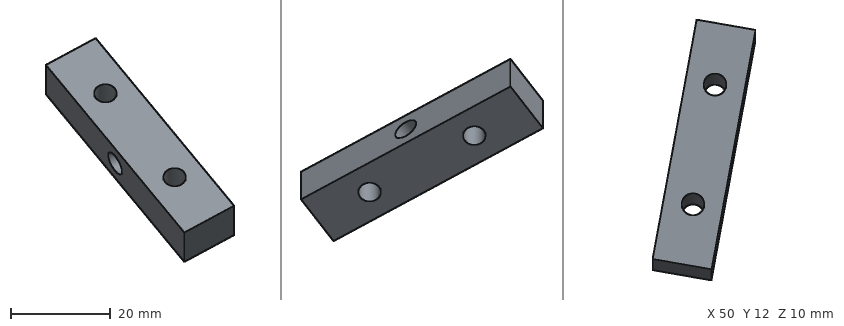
import cadquery as cq

length = 49.95
depth = 12.0
height = 10.0

vertical_hole_diameter = 4.5
vertical_hole_spacing = length / 2
cross_hole_diameter = 5.0


def make_bar():
    """Solid bar centred on the origin."""
    return cq.Workplane("XY").box(length, depth, height)


def drill_vertical_holes(bar):
    """Pair of holes along Z, symmetric about the middle of the bar."""
    half_spacing = vertical_hole_spacing / 2
    return (
        bar.faces(">Z")
        .workplane()
        .pushPoints([(-half_spacing, 0), (half_spacing, 0)])
        .hole(vertical_hole_diameter)
    )


def drill_cross_hole(bar):
    """Central hole along Y, from front to back."""
    return bar.faces("<Y").workplane(centerOption="CenterOfBoundBox").hole(cross_hole_diameter)


result = drill_cross_hole(drill_vertical_holes(make_bar()))